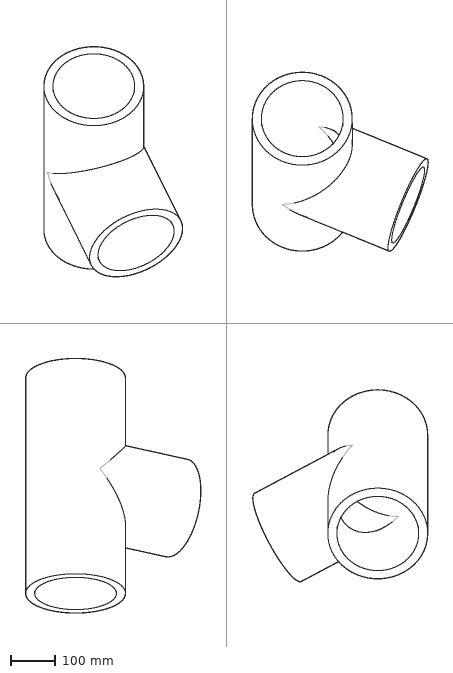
import cadquery as cq

run_length = 527.0
overall_width = 372.5
outer_diameter = 225.0
wall = 20.5

outer_radius = outer_diameter / 2
bore_radius = outer_radius - wall
branch_reach = overall_width - outer_radius


def tee(radius):
    """Solid tee: a vertical run crossed at mid-height by a branch along +X."""
    run = cq.Workplane("XY").circle(radius).extrude(run_length / 2, both=True)
    branch = cq.Workplane("YZ").circle(radius).extrude(branch_reach)
    return run.union(branch)


result = tee(outer_radius).cut(tee(bore_radius))